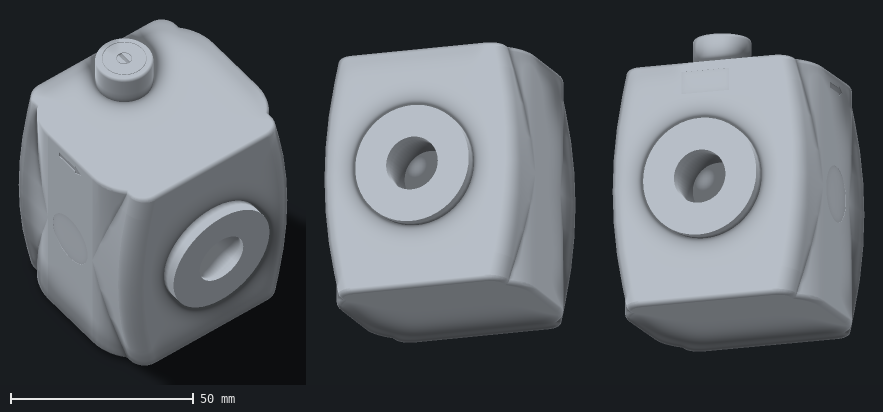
import cadquery as cq
import math

OVERALL_Z = 77.0
HOUSING_X = 53.3
HOUSING_Y = 57.0
HOUSING_Z = 68.0
EDGE_ROUND = 1.5

BULGE_RADIUS = 130.1
BULGE_END_Z = 27.0
CORNER_ROUND = 5.0

CORE_FLAT_X = 20.0
SHOULDER_RADIUS = 15.0
SHOULDER_ANGLE = math.radians(60)

BOSS_DIAMETER = 33.0
BOSS_SPAN_X = 62.0
BORE_DIAMETER = 15.0
BORE_DEPTH = 15.0

KNOB_X = -13.0
KNOB_DIAMETER = 16.0
KNOB_HEIGHT = OVERALL_Z - HOUSING_Z
KNOB_ROUND = 1.0
CAP_GROOVE_OUTER, CAP_GROOVE_INNER = 12.3, 12.0
SCREW_GROOVE_OUTER, SCREW_GROOVE_INNER = 4.3, 4.0
GROOVE_DEPTH = 0.4
SLOT_WIDTH = 1.1
SLOT_DEPTH = 0.5

PANEL_DEPTH = 0.1
ROUND_PANEL_DIAMETER = 15.7
PLATE_Y = 13.9
PLATE_Z = 6.2
PLATE_CENTER_Z = 28.0
ARROW_DEPTH = 0.2
ARROW_LENGTH = 10.0
ARROW_HEAD_LENGTH = 2.9
ARROW_HEAD_HALF = 1.55
ARROW_SHAFT_HALF = 0.8
ARROW_CENTER_Z = 29.8

HALF_X = HOUSING_X / 2
HALF_Y = HOUSING_Y / 2
HALF_Z = HOUSING_Z / 2


def bulge_y(z):
    """Half depth of the bulged side at height z on the arc."""
    return HALF_Y - BULGE_RADIUS + math.sqrt(BULGE_RADIUS**2 - z**2)


def make_barrel():
    arc_end_y = bulge_y(BULGE_END_Z)
    end_slope = BULGE_END_Z / math.sqrt(BULGE_RADIUS**2 - BULGE_END_Z**2)
    top_y = arc_end_y - end_slope * (HALF_Z - BULGE_END_Z)
    barrel = (
        cq.Workplane("YZ", origin=(-HALF_X, 0, 0))
        .moveTo(top_y, -HALF_Z)
        .lineTo(arc_end_y, -BULGE_END_Z)
        .threePointArc((HALF_Y, 0), (arc_end_y, BULGE_END_Z))
        .lineTo(top_y, HALF_Z)
        .lineTo(-top_y, HALF_Z)
        .lineTo(-arc_end_y, BULGE_END_Z)
        .threePointArc((-HALF_Y, 0), (-arc_end_y, -BULGE_END_Z))
        .lineTo(-top_y, -HALF_Z)
        .close()
        .extrude(HOUSING_X)
    )
    upright_edges = barrel.faces("<X or >X").edges("not(#Z)")
    barrel = barrel.newObject(upright_edges.vals()).fillet(CORNER_ROUND)
    return barrel.faces("<Z or >Z").edges().fillet(EDGE_ROUND)


def make_core():
    flat_half = CORE_FLAT_X / 2

    def shoulder_point(angle):
        x = flat_half + SHOULDER_RADIUS * math.sin(angle)
        y = HALF_Y - SHOULDER_RADIUS * (1 - math.cos(angle))
        return x, y

    mid_x, mid_y = shoulder_point(SHOULDER_ANGLE / 2)
    end_x, end_y = shoulder_point(SHOULDER_ANGLE)
    core = (
        cq.Workplane("XY", origin=(0, 0, -HALF_Z))
        .moveTo(-flat_half, HALF_Y)
        .lineTo(flat_half, HALF_Y)
        .threePointArc((mid_x, mid_y), (end_x, end_y))
        .lineTo(end_x, -end_y)
        .threePointArc((mid_x, -mid_y), (flat_half, -HALF_Y))
        .lineTo(-flat_half, -HALF_Y)
        .threePointArc((-mid_x, -mid_y), (-end_x, -end_y))
        .lineTo(-end_x, end_y)
        .threePointArc((-mid_x, mid_y), (-flat_half, HALF_Y))
        .close()
        .extrude(HOUSING_Z)
    )
    return core.faces("<Z or >Z").edges().fillet(EDGE_ROUND)


def make_bosses():
    return (
        cq.Workplane("YZ", origin=(-BOSS_SPAN_X / 2, 0, 0))
        .circle(BOSS_DIAMETER / 2)
        .extrude(BOSS_SPAN_X)
    )


def make_bore(side):
    """Blind bore cutter; side is -1 for the inlet end and +1 for the outlet end."""
    return (
        cq.Workplane("YZ", origin=(side * BOSS_SPAN_X / 2, 0, 0))
        .circle(BORE_DIAMETER / 2)
        .extrude(-side * BORE_DEPTH)
    )


def make_knob():
    knob = (
        cq.Workplane("XY", origin=(KNOB_X, 0, HALF_Z))
        .circle(KNOB_DIAMETER / 2)
        .extrude(KNOB_HEIGHT)
        .faces(">Z")
        .edges()
        .fillet(KNOB_ROUND)
    )
    knob_top = cq.Workplane("XY", origin=(KNOB_X, 0, HALF_Z + KNOB_HEIGHT))
    grooves = (
        (CAP_GROOVE_OUTER, CAP_GROOVE_INNER),
        (SCREW_GROOVE_OUTER, SCREW_GROOVE_INNER),
    )
    for outer, inner in grooves:
        knob = knob.cut(knob_top.circle(outer / 2).circle(inner / 2).extrude(-GROOVE_DEPTH))
    slot = knob_top.rect(SCREW_GROOVE_INNER, SLOT_WIDTH).extrude(-SLOT_DEPTH)
    screw_head = knob_top.circle(SCREW_GROOVE_INNER / 2).extrude(-SLOT_DEPTH)
    return knob.cut(slot.intersect(screw_head))


def make_round_panel():
    return (
        cq.Workplane("XZ", origin=(0, -HALF_Y, 0))
        .circle(ROUND_PANEL_DIAMETER / 2)
        .extrude(-PANEL_DEPTH)
    )


def make_inlet_plate():
    return (
        cq.Workplane("YZ", origin=(-HALF_X, 0, PLATE_CENTER_Z))
        .rect(PLATE_Y, PLATE_Z)
        .extrude(PANEL_DEPTH)
    )


def make_flow_arrow():
    tip_x = ARROW_LENGTH / 2
    head_x = tip_x - ARROW_HEAD_LENGTH
    return (
        cq.Workplane("XZ", origin=(0, -HALF_Y, ARROW_CENTER_Z))
        .polyline([
            (-tip_x, -ARROW_SHAFT_HALF),
            (head_x, -ARROW_SHAFT_HALF),
            (head_x, -ARROW_HEAD_HALF),
            (tip_x, 0),
            (head_x, ARROW_HEAD_HALF),
            (head_x, ARROW_SHAFT_HALF),
            (-tip_x, ARROW_SHAFT_HALF),
        ])
        .close()
        .extrude(-ARROW_DEPTH)
    )


housing = make_barrel().union(make_core()).union(make_bosses()).union(make_knob())
for side in (-1, 1):
    housing = housing.cut(make_bore(side))

result = housing.cut(make_round_panel()).cut(make_inlet_plate()).cut(make_flow_arrow())